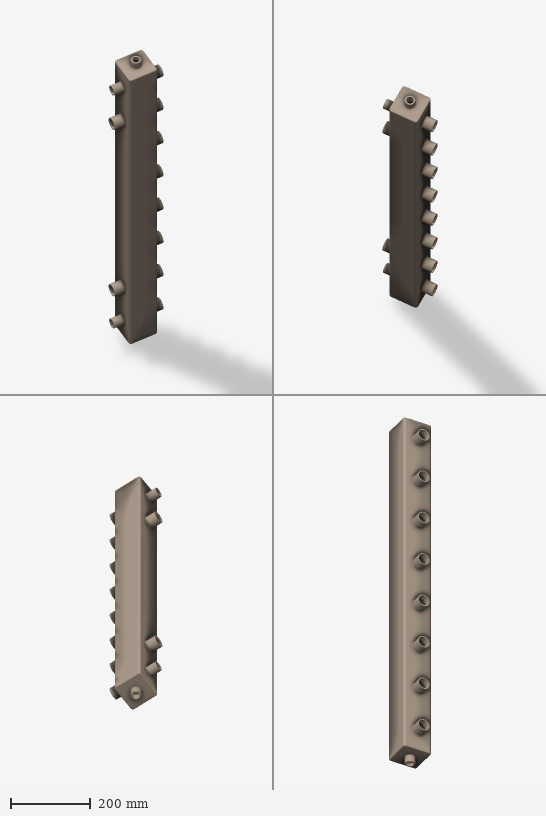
import cadquery as cq

total_height = 1035.0
total_depth = 140.0

tube_width = 81.0
tube_height = 994.0
tube_wall = 4.0
long_edge_radius = 7.0
end_edge_radius = 3.0

large_outer, large_bore = 33.0, 28.0
small_outer, small_bore = 27.0, 22.0
end_outer, end_bore = 27.0, 19.0
end_tip_chamfer = 1.0

weld_height = 2.0
side_weld_width = 3.0
end_weld_width = 1.6

stub_pitch = 125.0
row_count = 8
row_heights = [(i - (row_count - 1) / 2) * stub_pitch for i in range(row_count)]
outermost_rows = (row_heights[0], row_heights[-1])
second_rows = (row_heights[1], row_heights[-2])

FRONT = cq.Vector(0, -1, 0)
REAR = cq.Vector(0, 1, 0)
UP = cq.Vector(0, 0, 1)
DOWN = cq.Vector(0, 0, -1)


def make_tube():
    outside = (
        cq.Workplane("XY")
        .box(tube_width, tube_width, tube_height)
        .edges("|Z")
        .fillet(long_edge_radius)
        .faces("<Z or >Z")
        .edges()
        .fillet(end_edge_radius)
    )
    cavity_width = tube_width - 2 * tube_wall
    cavity_height = tube_height - 2 * tube_wall
    cavity = (
        cq.Workplane("XY")
        .box(cavity_width, cavity_width, cavity_height)
        .edges("|Z")
        .fillet(long_edge_radius - tube_wall)
    )
    return outside.cut(cavity)


def add_stub(body, foot, direction, length, outer, bore, weld_width, tip_chamfer=0):
    """Add a pipe stub whose foot is on the tube surface; its bore opens into the cavity."""
    start = foot - direction * tube_wall
    full_length = length + tube_wall
    pipe = cq.Workplane(cq.Solid.makeCylinder(outer / 2, full_length, start, direction))
    if tip_chamfer:
        pipe = pipe.faces(cq.DirectionMinMaxSelector(direction)).chamfer(tip_chamfer)
    weld_radius = outer / 2 + weld_width
    weld = cq.Solid.makeCone(weld_radius, outer / 2, weld_height, foot, direction)
    hole = cq.Solid.makeCylinder(bore / 2, full_length, start, direction)
    return body.union(pipe).union(cq.Workplane(weld)).cut(cq.Workplane(hole))


def add_side_stubs(body, direction, heights, outer, bore):
    length = (total_depth - tube_width) / 2
    for height in heights:
        foot = direction * (tube_width / 2) + UP * height
        body = add_stub(body, foot, direction, length, outer, bore, side_weld_width)
    return body


def add_end_stub(body, direction):
    length = (total_height - tube_height) / 2
    foot = direction * (tube_height / 2)
    return add_stub(
        body, foot, direction, length, end_outer, end_bore, end_weld_width, end_tip_chamfer
    )


result = make_tube()
result = add_side_stubs(result, REAR, row_heights, large_outer, large_bore)
result = add_side_stubs(result, FRONT, second_rows, large_outer, large_bore)
result = add_side_stubs(result, FRONT, outermost_rows, small_outer, small_bore)
for end_direction in (UP, DOWN):
    result = add_end_stub(result, end_direction)